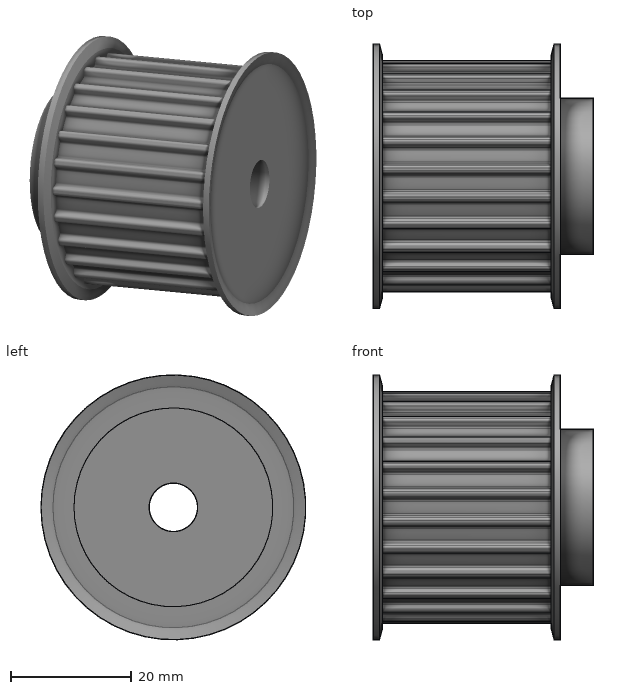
import cadquery as cq
import math


tooth_count = 25
belt_pitch = 5.0
pitch_line_offset = 0.615
tip_radius = tooth_count * belt_pitch / (2 * math.pi) - pitch_line_offset
groove_depth = 1.25
root_radius = tip_radius - groove_depth
groove_floor_width = 2.55
flank_angle = math.radians(25)
root_fillet = 0.4
tip_fillet = 0.5
radius_tolerance = 1e-4

toothed_length = 28.0
flange_thickness = 1.0
hub_length = 6.0
hub_start = toothed_length + 2 * flange_thickness
body_length = hub_start + hub_length

hub_radius = 13.0
bore_radius = 4.0
seat_radius = 16.5

flange_radius = 22.0
bend_radius = 20.0
bend_angle = math.radians(15)
rim_overhang = (flange_radius - bend_radius) * math.tan(bend_angle)
inner_bend_radius = bend_radius + flange_thickness * math.tan(bend_angle / 2)
rim_inner_face = flange_thickness - (flange_radius - inner_bend_radius) * math.tan(bend_angle)


def polar(radius, angle):
    """Point in the YZ plane at an angle counted from +Y towards +Z."""
    return radius * math.cos(angle), radius * math.sin(angle)


def fillet_edges_at_radius(solid, radius, fillet_radius):
    """Round the lengthwise edges that lie at the given distance from the axis."""
    edges = [
        edge
        for edge in solid.edges("|X").vals()
        if abs(math.hypot(edge.Center().y, edge.Center().z) - radius) < radius_tolerance
    ]
    return solid.newObject(edges).fillet(fillet_radius)


def make_toothed_section():
    """Extrude the tooth outline, then round the roots and the tips of the teeth."""
    pitch_angle = 2 * math.pi / tooth_count
    floor_half_angle = math.asin(groove_floor_width / 2 / root_radius)
    mouth_half_width = groove_floor_width / 2 + groove_depth * math.tan(flank_angle)
    mouth_half_angle = math.asin(mouth_half_width / tip_radius)

    first_groove = math.pi
    outline = cq.Workplane("YZ", origin=(flange_thickness, 0, 0))
    outline = outline.moveTo(*polar(root_radius, first_groove - floor_half_angle))
    for index in range(tooth_count):
        groove = first_groove + index * pitch_angle
        next_groove = groove + pitch_angle
        outline = (
            outline
            .threePointArc(polar(root_radius, groove), polar(root_radius, groove + floor_half_angle))
            .lineTo(*polar(tip_radius, groove + mouth_half_angle))
            .threePointArc(
                polar(tip_radius, groove + pitch_angle / 2),
                polar(tip_radius, next_groove - mouth_half_angle),
            )
        )
        if index < tooth_count - 1:
            outline = outline.lineTo(*polar(root_radius, next_groove - floor_half_angle))
    section = outline.close().extrude(toothed_length)

    section = fillet_edges_at_radius(section, root_radius, root_fillet)
    return fillet_edges_at_radius(section, tip_radius, tip_fillet)


def make_body():
    """Toothed section with a flange seat at each end, the hub and the through bore."""
    seats = cq.Workplane("YZ").circle(seat_radius).extrude(hub_start)
    hub = cq.Workplane("YZ").circle(hub_radius).extrude(body_length)
    bore = cq.Workplane("YZ").circle(bore_radius).extrude(body_length)
    return make_toothed_section().union(seats).union(hub).cut(bore)


def make_flange(outer_face, inward):
    """Flange ring with its flat outer face at X = outer_face; inward (+1 or -1) points at the teeth."""
    profile = [
        (0, seat_radius),
        (0, bend_radius),
        (-rim_overhang, flange_radius),
        (rim_inner_face, flange_radius),
        (flange_thickness, inner_bend_radius),
        (flange_thickness, seat_radius),
    ]
    placed = [(outer_face + inward * depth, radius) for depth, radius in profile]
    return cq.Workplane("XY").polyline(placed).close().revolve(360, (0, 0, 0), (1, 0, 0))


body = make_body()
flanges = [make_flange(0, 1), make_flange(hub_start, -1)]

result = cq.Compound.makeCompound([body.solids().val(), *[flange.val() for flange in flanges]])